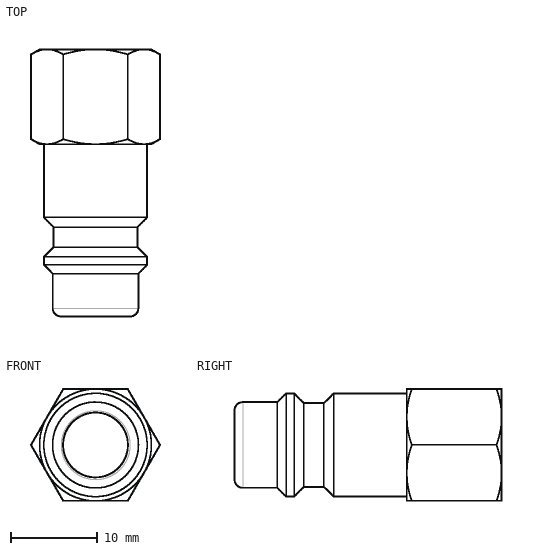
import cadquery as cq
import math

total_length = 31.0
across_flats = 13.0
hex_length = 11.0
hex_chamfer_angle = 30.0

body_diameter = 12.0
body_length = 8.5
neck_diameter = 9.75
neck_length = 2.32
nose_diameter = 9.98
nose_length = 5.0
nose_round = 1.0
bore_diameter = 7.5

across_corners = across_flats / math.cos(math.radians(30))
neck_cone = (body_diameter - neck_diameter) / 2
hex_start = total_length / 2 - hex_length
tip = -total_length / 2
nose_end = tip + nose_length
collar_start = nose_end + (body_diameter - nose_diameter) / 2
body_start = hex_start - body_length
neck_end = body_start - neck_cone
neck_start = neck_end - neck_length
collar_end = neck_start - neck_cone


def revolve_about_y(profile):
    return profile.close().revolve(360, (0, 0, 0), (0, 1, 0))


def make_hexagon():
    """Hexagon with corners on X, both ends chamfered by a turned envelope."""
    prism = (
        cq.Workplane("XZ", origin=(0, hex_start, 0))
        .polygon(6, across_corners)
        .extrude(-hex_length)
    )
    flat_radius = across_flats / 2
    corner_radius = across_corners / 2
    chamfer_depth = (corner_radius - flat_radius) * math.tan(math.radians(hex_chamfer_angle))
    hex_end = hex_start + hex_length
    envelope = revolve_about_y(
        cq.Workplane("XY")
        .moveTo(0, hex_start)
        .lineTo(flat_radius, hex_start)
        .lineTo(corner_radius, hex_start + chamfer_depth)
        .lineTo(corner_radius, hex_end - chamfer_depth)
        .lineTo(flat_radius, hex_end)
        .lineTo(0, hex_end)
    )
    return prism.intersect(envelope)


def make_plug():
    """Turned body, neck, collar and rounded nose."""
    body_radius = body_diameter / 2
    neck_radius = neck_diameter / 2
    nose_radius = nose_diameter / 2
    return revolve_about_y(
        cq.Workplane("XY")
        .moveTo(0, tip)
        .lineTo(nose_radius - nose_round, tip)
        .radiusArc((nose_radius, tip + nose_round), -nose_round)
        .lineTo(nose_radius, nose_end)
        .lineTo(body_radius, collar_start)
        .lineTo(body_radius, collar_end)
        .lineTo(neck_radius, neck_start)
        .lineTo(neck_radius, neck_end)
        .lineTo(body_radius, body_start)
        .lineTo(body_radius, hex_start)
        .lineTo(0, hex_start)
    )


def make_bore():
    """Straight bore through the whole length."""
    return (
        cq.Workplane("XZ", origin=(0, tip, 0))
        .circle(bore_diameter / 2)
        .extrude(-total_length)
    )


result = make_hexagon().union(make_plug()).cut(make_bore())